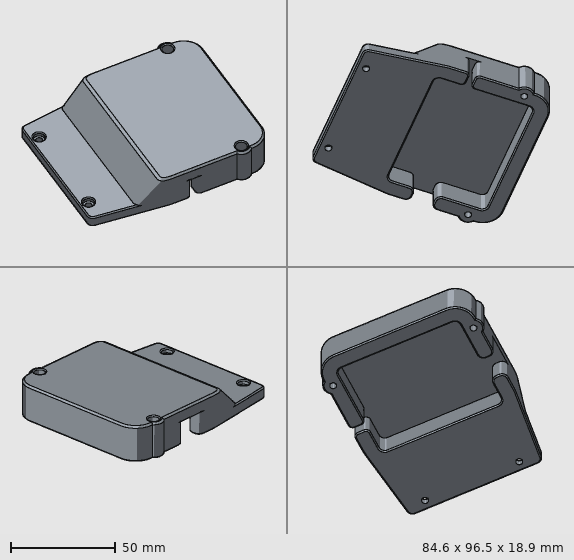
import cadquery as cq
import math

length = 96.5
half_width = 40.3
front_half_width = 35.2
taper_start_y = 41.2
taper_blend_radius = 24.1
rear_corner_radius = 10.5
front_corner_radius = 3.0

body_height = 18.9
tongue_height = 6.2
top_chamfer = 1.0
tongue_chamfer = 0.7
bottom_chamfer = 0.7

slope_foot_y = 23.4
slope_top_y = slope_foot_y + body_height - tongue_height
slope_edge_radius = 2.8
cut_margin = 1.0

boss_radius = 5.0
rear_screw_x = 37.3
rear_screw_y = 81.4
front_screw_x = 25.0
front_screw_y = 4.8
screw_diameter = 3.3
head_diameter = 5.7
head_chamfer = 0.6
rear_seat_height = 6.0
front_seat_height = 4.0

wall = 8.0
cavity_height = 12.45
cavity_corner_radius = 3.0
slot_front_y = 52.5
left_slot_rear_y = 63.6
left_slot_rounding = 3.2
right_slot_rear_y = 55.7
right_slot_rounding = 2.3


def outline_prism(height):
    """Plan outline without bosses: rounded rear corners and sides tapering to the front."""
    prism = (
        cq.Workplane("XY")
        .polyline([
            (-front_half_width, 0),
            (front_half_width, 0),
            (half_width, taper_start_y),
            (half_width, length),
            (-half_width, length),
            (-half_width, taper_start_y),
        ])
        .close()
        .extrude(height)
    )
    prism = prism.edges("|Z and >Y").fillet(rear_corner_radius)
    prism = prism.edges("|Z and <Y").fillet(front_corner_radius)
    for side in (-1, 1):
        kink = cq.NearestToPointSelector((side * half_width, taper_start_y, height / 2))
        prism = prism.edges("|Z").edges(kink).fillet(taper_blend_radius)
    return prism


def raised_body():
    """Tall rear part with its bosses, sloped front and chamfered top rim."""
    slope_void = (
        cq.Workplane("YZ")
        .polyline([
            (-cut_margin, -cut_margin),
            (slope_foot_y - tongue_height - cut_margin, -cut_margin),
            (slope_top_y + cut_margin, body_height + cut_margin),
            (-cut_margin, body_height + cut_margin),
        ])
        .close()
        .extrude(half_width + cut_margin, both=True)
    )
    body = outline_prism(body_height).cut(slope_void)
    slope_edges = body.faces("<(0,1,-1)").edges()
    body = slope_edges.filter(lambda edge: edge.BoundingBox().zlen > tongue_height).fillet(slope_edge_radius)
    bosses = (
        cq.Workplane("XY")
        .pushPoints([(-rear_screw_x, rear_screw_y), (rear_screw_x, rear_screw_y)])
        .circle(boss_radius)
        .extrude(body_height)
    )
    return body.union(bosses).faces(">Z").edges().chamfer(top_chamfer)


def tongue():
    """Low plate over the whole outline; its front part forms the tongue."""
    return outline_prism(tongue_height).faces(">Z").edges().chamfer(tongue_chamfer)


def cavity():
    """Pocket open at the bottom, one wall thickness inside the sides, the rear and the slope."""
    front_y = slope_top_y - (body_height - cavity_height) + wall
    rear_y = length - wall
    return (
        cq.Workplane("XY")
        .center(0, (front_y + rear_y) / 2)
        .rect(2 * (half_width - wall), rear_y - front_y)
        .extrude(cavity_height)
        .edges("|Z")
        .fillet(cavity_corner_radius)
    )


def side_slot(side, rear_y, rounding):
    """Slot through one side wall whose wall ends flare out in quarter rounds."""
    outer_x = side * half_width
    inner_x = side * (half_width - wall)
    step = side * rounding
    bulge = rounding * (1 - math.sqrt(0.5))
    wide_front = slot_front_y - rounding
    wide_rear = rear_y + rounding
    return (
        cq.Workplane("XY")
        .moveTo(outer_x, wide_front)
        .threePointArc((outer_x - side * bulge, slot_front_y - bulge), (outer_x - step, slot_front_y))
        .lineTo(inner_x + step, slot_front_y)
        .threePointArc((inner_x + side * bulge, slot_front_y - bulge), (inner_x, wide_front))
        .lineTo(inner_x, wide_rear)
        .threePointArc((inner_x + side * bulge, rear_y + bulge), (inner_x + step, rear_y))
        .lineTo(outer_x - step, rear_y)
        .threePointArc((outer_x - side * bulge, rear_y + bulge), (outer_x, wide_rear))
        .close()
        .extrude(cavity_height)
    )


def screw_hole(x, y, top, seat):
    """Through hole with a counterbore down to the seat and a chamfered mouth."""
    mouth_radius = head_diameter / 2 + head_chamfer
    profile = (
        cq.Workplane("XZ")
        .polyline([
            (0, 0),
            (screw_diameter / 2, 0),
            (screw_diameter / 2, seat),
            (head_diameter / 2, seat),
            (head_diameter / 2, top - head_chamfer),
            (mouth_radius, top),
            (0, top),
        ])
        .close()
    )
    return profile.revolve(360, (0, 0), (0, 1)).translate((x, y, 0))


result = raised_body().union(tongue()).clean()
result = result.cut(cavity())
result = result.cut(side_slot(-1, left_slot_rear_y, left_slot_rounding))
result = result.cut(side_slot(1, right_slot_rear_y, right_slot_rounding))
result = result.faces("<Z").edges().chamfer(bottom_chamfer)
for side in (-1, 1):
    result = result.cut(screw_hole(side * rear_screw_x, rear_screw_y, body_height, rear_seat_height))
    result = result.cut(screw_hole(side * front_screw_x, front_screw_y, tongue_height, front_seat_height))